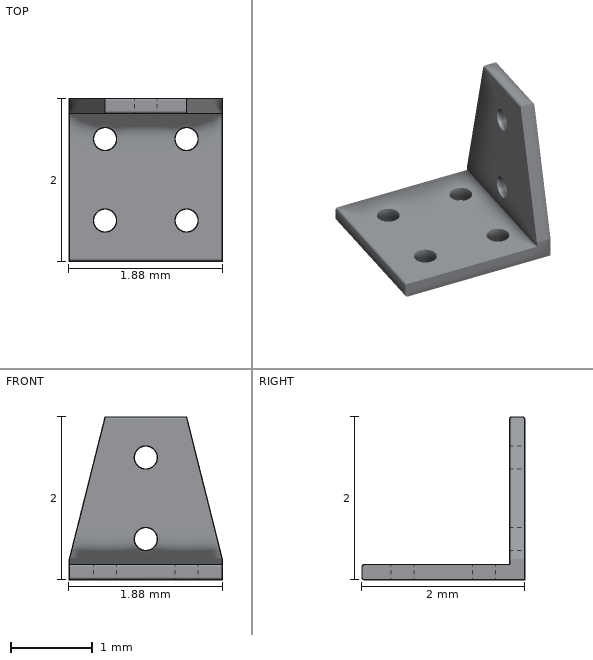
import cadquery as cq

width = 1.88
leg_length = 2.0
thickness = 0.188
edge_radius = 0.032
hole_diameter = 0.28
hole_pitch = 1.0
hole_end_distance = 0.5
tip_width = 1.0
shoulder_height = 0.25

far_hole = leg_length - hole_end_distance
near_hole = far_hole - hole_pitch


def make_base():
    """Flat leg, with its free edge at Y = 0 and its underside at Z = 0."""
    base = cq.Workplane("XY").box(width, leg_length, thickness, centered=(True, False, False))
    base = base.faces("<Y").edges("|X").fillet(edge_radius)
    holes = (
        cq.Workplane("XY")
        .pushPoints([(x, y) for x in (-hole_pitch / 2, hole_pitch / 2) for y in (near_hole, far_hole)])
        .circle(hole_diameter / 2)
        .extrude(thickness)
    )
    return base.cut(holes)


def make_upright():
    """Tapered leg, with its back face at Y = leg_length."""
    back_plane = cq.Workplane("XZ", origin=(0, leg_length, 0))
    upright = (
        back_plane.polyline([
            (-width / 2, 0),
            (width / 2, 0),
            (width / 2, shoulder_height),
            (tip_width / 2, leg_length),
            (-tip_width / 2, leg_length),
            (-width / 2, shoulder_height),
        ])
        .close()
        .extrude(thickness)
    )
    upright = upright.faces(">Z").edges("|X").fillet(edge_radius)
    holes = (
        back_plane.pushPoints([(0, near_hole), (0, far_hole)])
        .circle(hole_diameter / 2)
        .extrude(thickness)
    )
    return upright.cut(holes)


result = make_base().union(make_upright())